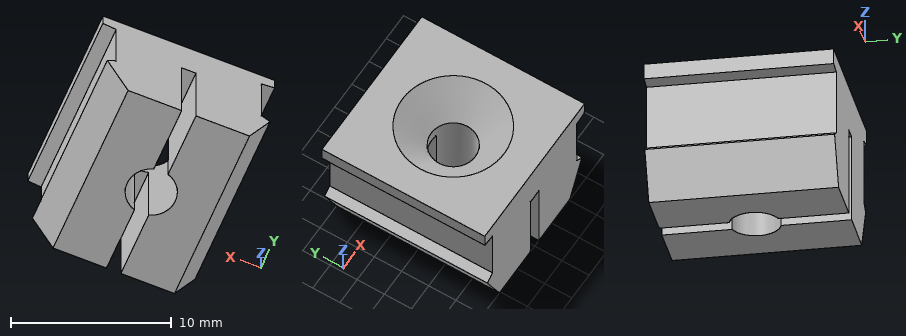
import cadquery as cq

width = 11.6
length = 12.0
height = 8.8

body_width = 9.8
flange_edge_depth = 1.03
flange_root_depth = 1.18
barb_root_depth = 5.4
barb_tip_depth = 5.8
barb_width = 11.0
bottom_width = 8.2

slot_width = 0.96
slot_top_depth = 3.04

hole_diameter = 3.24
countersink_diameter = 7.5
countersink_angle = 90.0


def make_body():
    """Extrude the symmetric clip profile along Y, with its top face at Z = 0."""
    right_side = [
        (width / 2, 0),
        (width / 2, -flange_edge_depth),
        (body_width / 2, -flange_root_depth),
        (body_width / 2, -barb_root_depth),
        (barb_width / 2, -barb_tip_depth),
        (bottom_width / 2, -height),
    ]
    left_side = [(-x, z) for x, z in reversed(right_side)]
    profile = cq.Workplane("XZ").polyline(right_side + left_side).close()
    return profile.extrude(length / 2, both=True)


def make_slot():
    """Full-length slot, open at the bottom."""
    slot_height = height - slot_top_depth
    return (
        cq.Workplane("XY")
        .workplane(offset=-height)
        .rect(slot_width, length)
        .extrude(slot_height)
    )


body = make_body().cut(make_slot())
result = (
    body.faces(">Z")
    .workplane(origin=(0, 0, 0))
    .cskHole(hole_diameter, countersink_diameter, countersink_angle)
)